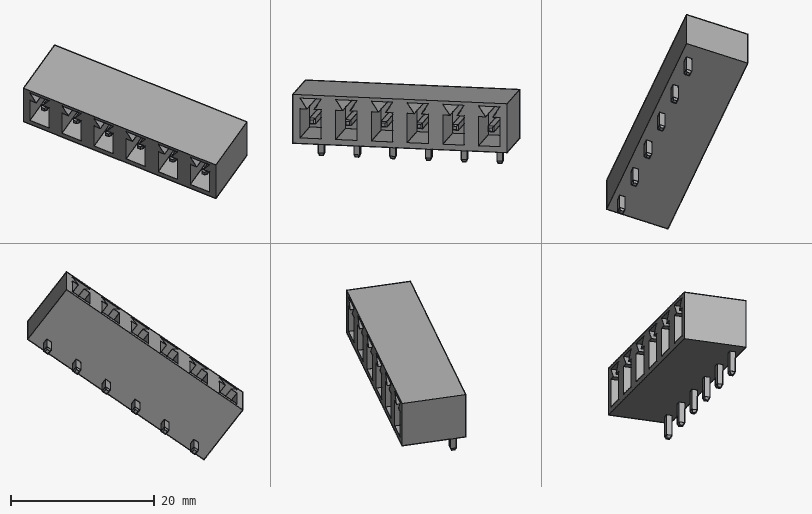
import cadquery as cq

pin_count = 6
housing_length = 30.48
housing_depth = 9.2
housing_height = 7.0
pitch = housing_length / pin_count

socket_width = 3.02
socket_floor = 0.82
socket_ceiling = 5.0
socket_depth = 7.0
roof_above_groove = 0.5
groove_top = housing_height - roof_above_groove
groove_top_width = socket_width
groove_neck_width = 1.0

pin_width = 0.82
tip_width = 0.5
tip_length = 0.4
contact_height = 3.0
contact_setback = 1.0
leg_drop = 3.38
leg_from_back = 1.22
leg_y = housing_depth - leg_from_back

pin_positions = [(i - (pin_count - 1) / 2) * pitch for i in range(pin_count)]


def make_housing():
    """Plain rectangular block centred on X = 0."""
    return cq.Workplane("XY").box(
        housing_length, housing_depth, housing_height, centered=(True, False, False)
    )


def make_socket(x):
    """Keyhole-shaped cavity running back from the front face."""
    right_side = [
        (socket_width / 2, socket_floor),
        (socket_width / 2, socket_ceiling),
        (groove_neck_width / 2, socket_ceiling),
        (groove_top_width / 2, groove_top),
    ]
    left_side = [(-px, pz) for px, pz in reversed(right_side)]
    outline = right_side + left_side
    return cq.Workplane("XZ").polyline(outline).close().extrude(-socket_depth).translate((x, 0, 0))


def make_pin(length):
    """Square bar from the origin up to Z = length, tapered at its far end."""
    shank_length = length - tip_length
    shank = cq.Workplane("XY").rect(pin_width, pin_width).extrude(shank_length)
    tip = (
        cq.Workplane("XY", origin=(0, 0, shank_length))
        .rect(pin_width, pin_width)
        .workplane(offset=tip_length)
        .rect(tip_width, tip_width)
        .loft(ruled=True)
    )
    return shank.union(tip)


def make_bent_pin(x):
    """Contact pointing forward into the socket, joined to a leg pointing down."""
    contact = make_pin(leg_y - contact_setback).rotate((0, 0, 0), (1, 0, 0), 90)
    leg = make_pin(contact_height + leg_drop).rotate((0, 0, 0), (1, 0, 0), 180)
    return contact.union(leg).translate((x, leg_y, contact_height))


result = make_housing()
for pin_x in pin_positions:
    result = result.cut(make_socket(pin_x))
for pin_x in pin_positions:
    result = result.union(make_bent_pin(pin_x))